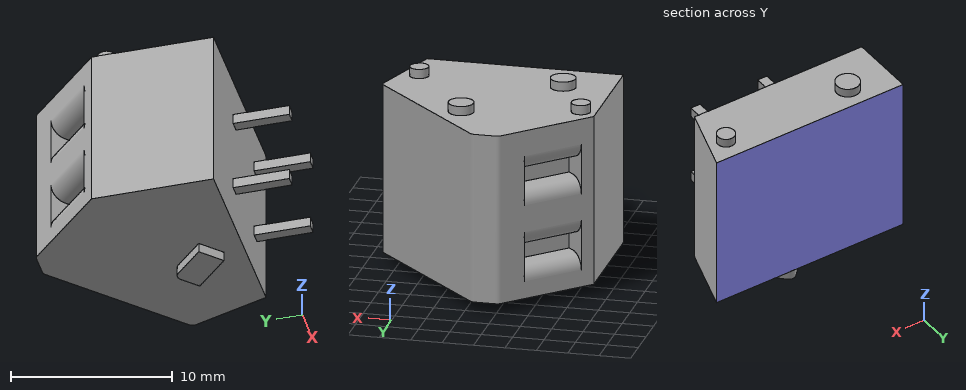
import cadquery as cq
import math

body_width = 12.52
body_depth = 12.71
body_height = 11.05
left_face_depth = 7.82
top_flat_end = 6.6
side_lean = math.radians(17.6)
corner_radius = 0.45

pitch = 5.0
pole_count = 2
pins_per_pole = 2
pin_size = 0.7
pin_length = 3.6
first_pin_x = 5.0
first_pin_z = 3.1

peg_height = 0.6
small_peg_diameter = 1.2
large_peg_diameter = 1.6
small_peg_centers = [(0.99, 7.12), (12.26, 3.1)]
large_peg_centers = [(3.11, 3.03), (8.2, 8.83)]

entry_length = 4.1
entry_throat_height = 1.24
entry_flare_radius = 1.0
entry_depth = 1.44
entry_upper_end_y = 11.36
first_entry_z = 2.75

key_height = 0.65
key_length = 3.0
key_width = 1.8
key_corner_radius = 0.45
key_tip = (7.38, 1.32)


def make_housing():
    top_flat_start = body_depth - left_face_depth
    slope_sum = top_flat_end + body_depth
    corner_y = (slope_sum - body_width) / (1 + math.tan(side_lean))
    corner_x = slope_sum - corner_y
    outline = [
        (0, 0),
        (body_width, 0),
        (corner_x, corner_y),
        (top_flat_end, body_depth),
        (top_flat_start, body_depth),
        (0, left_face_depth),
    ]
    housing = cq.Workplane("XY").polyline(outline).close().extrude(body_height)
    for x, y in outline[2:5]:
        corner_edge = cq.selectors.NearestToPointSelector((x, y, body_height / 2))
        housing = housing.edges("|Z").edges(corner_edge).fillet(corner_radius)
    return housing


def make_pegs(centers, diameter):
    return (
        cq.Workplane("XY", origin=(0, 0, body_height))
        .pushPoints(centers)
        .circle(diameter / 2)
        .extrude(peg_height)
    )


def make_pin(x, z):
    return (
        cq.Workplane("XZ", origin=(x, 0, z))
        .rect(pin_size, pin_size)
        .extrude(pin_length)
    )


def make_entry_cut(z):
    """Slot normal to the sloped face, its long mouth edges flared by convex rounds."""
    throat = entry_throat_height / 2
    mouth = throat + entry_flare_radius
    round_rise = entry_flare_radius * math.sin(math.pi / 4)
    round_mid_height = mouth - round_rise
    round_mid_depth = entry_flare_radius - round_rise
    upper_end = (entry_upper_end_y - left_face_depth, entry_upper_end_y, z)
    section_plane = cq.Plane(origin=upper_end, xDir=(1, -1, 0), normal=(-1, -1, 0))
    return (
        cq.Workplane(section_plane)
        .moveTo(0, mouth)
        .threePointArc((round_mid_depth, round_mid_height), (entry_flare_radius, throat))
        .lineTo(entry_depth, throat)
        .lineTo(entry_depth, -throat)
        .lineTo(entry_flare_radius, -throat)
        .threePointArc((round_mid_depth, -round_mid_height), (0, -mouth))
        .close()
        .extrude(entry_length)
    )


def make_key():
    key_plane = cq.Plane(origin=(*key_tip, 0), xDir=(1, 1, 0), normal=(0, 0, 1))
    key = (
        cq.Workplane(key_plane)
        .rect(key_length, key_width, centered=False)
        .extrude(-key_height)
    )
    return key.edges("|Z").edges(">Y").fillet(key_corner_radius)


result = make_housing()
result = result.union(make_pegs(small_peg_centers, small_peg_diameter))
result = result.union(make_pegs(large_peg_centers, large_peg_diameter))
result = result.union(make_key())
for pole in range(pole_count):
    pole_offset = pole * pitch
    result = result.cut(make_entry_cut(first_entry_z + pole_offset))
    for pin in range(pins_per_pole):
        result = result.union(make_pin(first_pin_x + pin * pitch, first_pin_z + pole_offset))